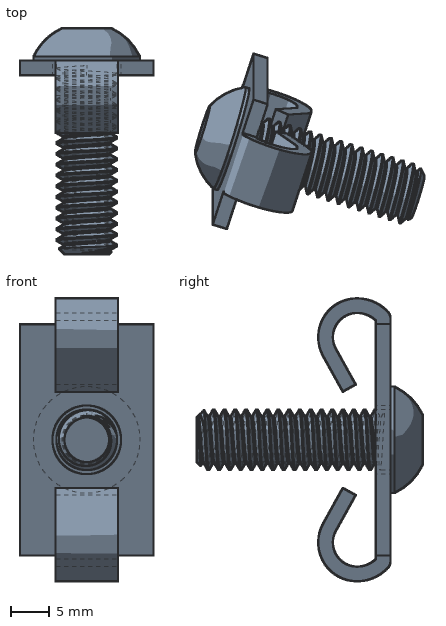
import cadquery as cq
import math


plate_width = 17.53
plate_height = 30.3
plate_thickness = 1.95
hole_diameter = 9.0

overall_height = 37.08
hook_width = 8.2
bend_depth = 4.4
lead_bend_radius = 5.5
return_bend_radius = 5.1
leg_angle = 29.0
leg_length = 5.35
heel_radius = 1.3

inch = 25.4
shank_length = inch
thread_diameter = 5 / 16 * inch
thread_pitch = inch / 18
thread_depth = 0.83
thread_half_angle = 30.0
thread_setback = 0.12
blank_seam_angle = 180.0
crest_width = thread_pitch / 8
tip_chamfer = 1.05
head_diameter = 13.97
head_height = 4.22
head_rim = 0.5
head_flat_diameter = 6.5


def bend_point(center, radius, angle):
    """Point on a bend, with the angle in degrees from -Y toward +Z (up)."""
    turn = math.radians(angle)
    y = center[0] - radius * math.cos(turn)
    z = center[1] + radius * math.sin(turn)
    return (y, z)


def make_upper_hook():
    crown = overall_height / 2
    inner_crown = crown - plate_thickness
    root = plate_height / 2
    lead_center = (-bend_depth, crown - lead_bend_radius)
    return_center = (-bend_depth, crown - return_bend_radius)
    lead_inner_radius = lead_bend_radius - plate_thickness
    return_inner_radius = return_bend_radius - plate_thickness

    outer_start_angle = 180 - math.degrees(math.acos(bend_depth / lead_bend_radius))
    inner_start_angle = 180 - math.degrees(
        math.acos((bend_depth - plate_thickness) / lead_inner_radius)
    )
    outer_start = bend_point(lead_center, lead_bend_radius, outer_start_angle)
    outer_lead_middle = bend_point(lead_center, lead_bend_radius, (outer_start_angle + 90) / 2)
    inner_start = bend_point(lead_center, lead_inner_radius, inner_start_angle)
    inner_lead_middle = bend_point(lead_center, lead_inner_radius, (inner_start_angle + 90) / 2)

    return_middle_angle = (90 - leg_angle) / 2
    outer_return_middle = bend_point(return_center, return_bend_radius, return_middle_angle)
    inner_return_middle = bend_point(return_center, return_inner_radius, return_middle_angle)
    outer_leg_start = bend_point(return_center, return_bend_radius, -leg_angle)
    inner_leg_start = bend_point(return_center, return_inner_radius, -leg_angle)
    leg_run = leg_length * math.sin(math.radians(leg_angle))
    leg_drop = leg_length * math.cos(math.radians(leg_angle))
    outer_leg_end = (outer_leg_start[0] + leg_run, outer_leg_start[1] - leg_drop)
    inner_leg_end = (inner_leg_start[0] + leg_run, inner_leg_start[1] - leg_drop)

    hook = (
        cq.Workplane("YZ")
        .moveTo(0, root)
        .lineTo(*outer_start)
        .threePointArc(outer_lead_middle, (-bend_depth, crown))
        .threePointArc(outer_return_middle, outer_leg_start)
        .lineTo(*outer_leg_end)
        .lineTo(*inner_leg_end)
        .lineTo(*inner_leg_start)
        .threePointArc(inner_return_middle, (-bend_depth, inner_crown))
        .threePointArc(inner_lead_middle, inner_start)
        .lineTo(-plate_thickness, root)
        .close()
        .extrude(hook_width / 2, both=True)
    )
    heel = cq.selectors.NearestToPointSelector((0, *outer_start))
    return hook.edges("|X").edges(heel).fillet(heel_radius)


def make_clip():
    plate = (
        cq.Workplane("XZ")
        .rect(plate_width, plate_height)
        .circle(hole_diameter / 2)
        .extrude(plate_thickness)
    )
    upper_hook = make_upper_hook()
    lower_hook = upper_hook.mirror("XY")
    return plate.union(upper_hook).union(lower_hook)


def make_screw_blank():
    """Unthreaded screw, revolved about Z with the tip toward +Z."""
    flat_radius = head_flat_diameter / 2
    head_radius = head_diameter / 2
    shank_radius = thread_diameter / 2

    dome_height = head_height - head_rim
    dome_center = (head_radius**2 - flat_radius**2 + dome_height**2) / (2 * dome_height)
    dome_radius = math.hypot(dome_center, flat_radius)
    middle_depth = dome_height / 2
    middle_radius = math.sqrt(dome_radius**2 - (dome_center - middle_depth) ** 2)

    return (
        cq.Workplane("XZ")
        .moveTo(0, -head_height)
        .lineTo(flat_radius, -head_height)
        .threePointArc((middle_radius, middle_depth - head_height), (head_radius, -head_rim))
        .lineTo(head_radius, 0)
        .lineTo(shank_radius, 0)
        .lineTo(shank_radius, shank_length - tip_chamfer)
        .lineTo(shank_radius - tip_chamfer, shank_length)
        .lineTo(0, shank_length)
        .close()
        .revolve(360, (0, 0, 0), (0, 1, 0))
    )


def make_thread_groove():
    """Helical V groove about Z, right-handed, that runs out through the tip."""
    turns_below_tip = 17
    turns_past_tip = 0.75
    groove_start = shank_length - thread_setback - turns_below_tip * thread_pitch
    groove_length = (turns_below_tip + turns_past_tip) * thread_pitch

    crest_radius = thread_diameter / 2
    root_radius = crest_radius - thread_depth
    overcut = 0.1
    flank_slope = math.tan(math.radians(thread_half_angle))
    crest_half_gap = (thread_pitch - crest_width) / 2
    root_half_gap = crest_half_gap - thread_depth * flank_slope
    outer_half_gap = crest_half_gap + overcut * flank_slope

    path = cq.Wire.makeHelix(thread_pitch, groove_length, crest_radius)
    groove = (
        cq.Workplane("XZ")
        .moveTo(root_radius, -root_half_gap)
        .lineTo(crest_radius + overcut, -outer_half_gap)
        .lineTo(crest_radius + overcut, outer_half_gap)
        .lineTo(root_radius, root_half_gap)
        .close()
        .sweep(cq.Workplane(obj=path), isFrenet=True)
    )
    return groove.rotate((0, 0, 0), (0, 0, 1), 90).translate((0, 0, groove_start))


def make_screw():
    blank = make_screw_blank().rotate((0, 0, 0), (0, 0, 1), blank_seam_angle)
    screw = blank.cut(make_thread_groove())
    return screw.rotate((0, 0, 0), (1, 0, 0), 90)


clip = make_clip()
screw = make_screw()
result = cq.Compound.makeCompound([*clip.solids().vals(), *screw.solids().vals()])